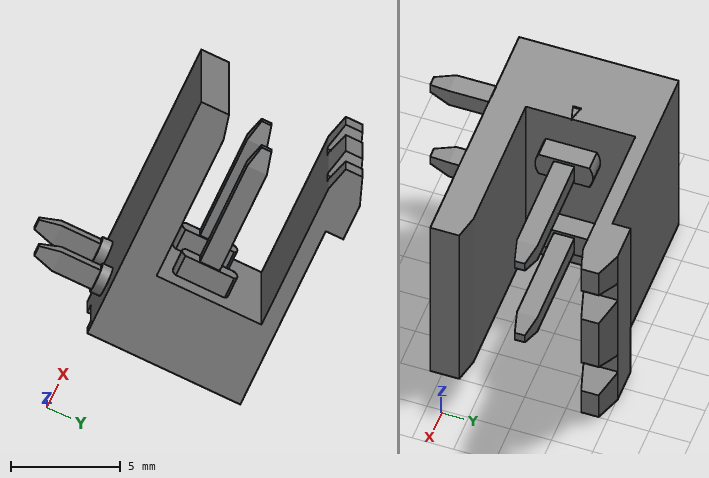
import cadquery as cq

length = 12.0
height = 10.16
overall_depth = 12.1
body_depth = 7.72
root_x = 3.79
front_wall = 1.68
arm_inner_y = 6.97
lead_in_x = 10.84
front_tip_y = 1.4
arm_tip_y = 7.28

hook_x = 8.99
hook_top_y = 8.6
hook_bevel_x = 10.75
hook_tip_y = 8.13

pole_count = 2
pitch = height / pole_count
pole_heights = [pitch * (index + 0.5) for index in range(pole_count)]

pin_width = 0.99
tip_width = pin_width / 2
tip_length = 1.0
contact_y = 3.88
contact_end_x = 10.77
tail_x = 1.98
tail_end_y = hook_top_y - overall_depth

collar_diameter = 1.42
collar_length = 0.5
boss_diameter = 2.8
boss_thickness = 1.33
boss_length = 1.0

notch_depth = 1.3
notch_root_width = 1.2
notch_mouth_width = 2.0

pocket_depth = 0.36
pocket_top_y = 6.82
pocket_height = 3.04
bead_y = 6.01
bead_radius = 0.5

mark_length = 0.75
mark_width = 0.4
mark_depth = 0.1


def make_housing():
    """Channel profile, including the latch hook, at full height."""
    outline = [
        (0, 0),
        (length, 0),
        (length, front_tip_y),
        (lead_in_x, front_wall),
        (root_x, front_wall),
        (root_x, arm_inner_y),
        (lead_in_x, arm_inner_y),
        (length, arm_tip_y),
        (length, hook_tip_y),
        (hook_bevel_x, hook_top_y),
        (hook_x, hook_top_y),
        (hook_x, body_depth),
        (0, body_depth),
    ]
    return cq.Workplane("XY").polyline(outline).close().extrude(height)


def make_notch(z):
    """Trapezoidal cutter through the tip of the rear arm."""
    root = length - notch_depth
    outline = [
        (root, z - notch_root_width / 2),
        (length, z - notch_mouth_width / 2),
        (length, z + notch_mouth_width / 2),
        (root, z + notch_root_width / 2),
    ]
    cutter = cq.Workplane("XZ", origin=(0, hook_top_y, 0)).polyline(outline).close()
    return cutter.extrude(hook_top_y - arm_inner_y)


def make_pocket(z):
    """Box cutter for a pocket that runs out through the -Y face."""
    start = cq.Workplane("XY", origin=(0, 0, z))
    return start.box(pocket_depth, pocket_top_y, pocket_height, centered=(False, False, True))


def make_bead(z):
    """Spherical cap standing on the pocket floor, level with the -X face."""
    sphere_radius = (bead_radius**2 + pocket_depth**2) / (2 * pocket_depth)
    return cq.Workplane("XY").sphere(sphere_radius).translate((sphere_radius, bead_y, z))


def make_pin(plane, pin_length):
    """Square pin along the plane normal, ending in a tapered tip."""
    shank_length = pin_length - tip_length
    shank = cq.Workplane(plane).rect(pin_width, pin_width).extrude(shank_length)
    tip = (
        cq.Workplane(plane)
        .workplane(offset=shank_length)
        .rect(pin_width, pin_width)
        .workplane(offset=tip_length)
        .rect(tip_width, tip_width)
        .loft(ruled=True)
    )
    return shank.union(tip)


def make_contact(z):
    """Mating pin pointing along +X, on a round boss with flats above and below."""
    plane = cq.Plane(origin=(root_x, contact_y, z), xDir=(0, 1, 0), normal=(1, 0, 0))
    boss = cq.Workplane(plane).circle(boss_diameter / 2).extrude(boss_length)
    flats = cq.Workplane(plane).rect(boss_diameter, boss_thickness).extrude(boss_length)
    return boss.intersect(flats).union(make_pin(plane, contact_end_x - root_x))


def make_tail(z):
    """Solder pin pointing along -Y, with a round collar against the housing."""
    plane = cq.Plane(origin=(tail_x, 0, z), xDir=(1, 0, 0), normal=(0, -1, 0))
    collar = cq.Workplane(plane).circle(collar_diameter / 2).extrude(collar_length)
    return collar.union(make_pin(plane, -tail_end_y))


def make_mark():
    """Cutter for the triangular mark."""
    outline = [
        (root_x, contact_y),
        (root_x - mark_length, contact_y + mark_width / 2),
        (root_x - mark_length, contact_y - mark_width / 2),
    ]
    top = cq.Workplane("XY", origin=(0, 0, height))
    return top.polyline(outline).close().extrude(-mark_depth)


result = make_housing().cut(make_mark())
for pole_z in pole_heights:
    result = result.cut(make_notch(pole_z)).cut(make_pocket(pole_z))
    result = result.union(make_bead(pole_z))
    result = result.union(make_contact(pole_z)).union(make_tail(pole_z))